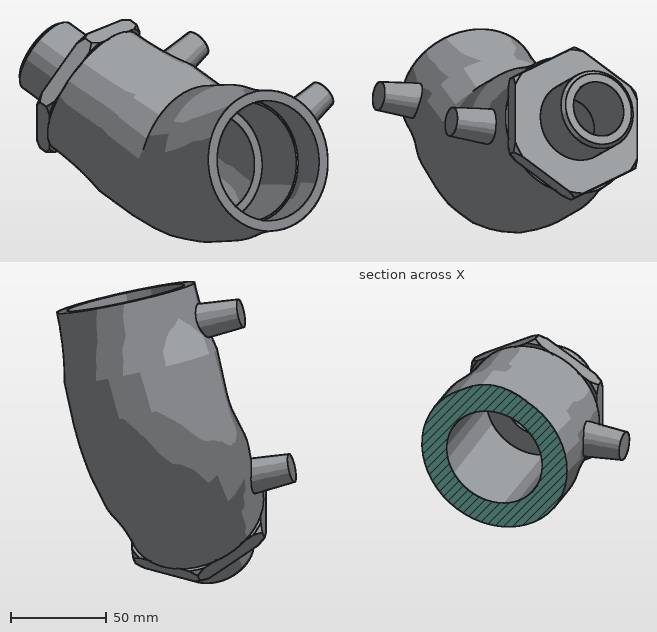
import cadquery as cq
import math


nipple_diameter = 42.0
nipple_bore = 29.3
nipple_length = 26.9
nipple_chamfer = 1.8
nut_thickness = 8.8
nut_corner_diameter = 82.0
nut_chamfer = 2.2
nut_back = nipple_length + nut_thickness

body_diameter = 82.0
end_diameter = 74.0
straight_length = 21.9
taper_length = 37.0
leg_length = straight_length + taper_length
bend_angle = 45
bend_radius = 30.5
body_radius = body_diameter / 2
end_radius = end_diameter / 2
bend_start = nut_back + leg_length

waterway_diameter = 53.5
socket_diameter = 63.0
stop_height = 2.2
groove_top_depth = 15.3
groove_bottom_depth = 22.6
groove_depth = 1.1

pin_tip_diameter = 15.0
pin_base_diameter = 18.5
pin_base_y = 37.7
pin_tip_y = 58.9
pin_end_distance = 20.0
pin_distance = leg_length - pin_end_distance

bend_sin = math.sin(math.radians(bend_angle))
bend_cos = math.cos(math.radians(bend_angle))
outlet_x = bend_start + bend_radius * bend_sin
outlet_z = bend_radius * (1 - bend_cos)
inlet_frame = cq.Plane((bend_start, 0, 0), xDir=(0, 1, 0), normal=(-1, 0, 0))
outlet_frame = cq.Plane((outlet_x, 0, outlet_z), xDir=(0, 1, 0), normal=(bend_cos, 0, bend_sin))


def x_cylinder(diameter, start, length):
    return cq.Workplane("YZ", origin=(start, 0, 0)).circle(diameter / 2).extrude(length)


def leg(frame):
    """Straight length, then a concave taper that ends parallel to the leg axis."""
    radius_drop = body_radius - end_radius
    arc_radius = (taper_length**2 + radius_drop**2) / (2 * radius_drop)
    half_angle = math.asin(taper_length / arc_radius) / 2
    arc_middle = (
        end_radius + arc_radius * (1 - math.cos(half_angle)),
        leg_length - arc_radius * math.sin(half_angle),
    )
    profile = (
        cq.Workplane("XY")
        .lineTo(body_radius, 0)
        .lineTo(body_radius, straight_length)
        .threePointArc(arc_middle, (end_radius, leg_length))
        .lineTo(0, leg_length)
        .close()
    )
    solid = profile.revolve(360, (0, 0, 0), (0, 1, 0)).rotate((0, 0, 0), (1, 0, 0), 90)
    return cq.Workplane(solid.val().moved(cq.Location(frame)))


def bend(diameter):
    """Sweep a disc around the bend axis, keeping only the part outside that axis."""
    section = cq.Sketch().circle(diameter / 2)
    if diameter / 2 > bend_radius:
        beyond_axis = cq.Sketch().rect(diameter, diameter)
        section = section.face(
            beyond_axis.moved(cq.Location((0, bend_radius + diameter / 2, 0))), mode="s"
        )
    return (
        cq.Workplane("YZ", origin=(bend_start, 0, 0))
        .placeSketch(section)
        .revolve(bend_angle, (0, bend_radius, 0), (-1, bend_radius, 0))
    )


def nut():
    hexagon = (
        cq.Workplane("YZ", origin=(nipple_length, 0, 0))
        .transformed(rotate=(0, 0, 90))
        .polygon(6, nut_corner_diameter)
        .extrude(nut_thickness)
    )
    envelope = x_cylinder(nut_corner_diameter, nipple_length, nut_thickness)
    envelope = envelope.edges().chamfer(nut_chamfer)
    return hexagon.intersect(envelope)


def nipple():
    return x_cylinder(nipple_diameter, 0, nipple_length).faces("<X").chamfer(nipple_chamfer)


def pin(x, z):
    """Solid tapered pin, rooted inside the leg wall."""
    root_y = (socket_diameter / 2 + body_radius) / 2
    slope = (pin_base_diameter - pin_tip_diameter) / (2 * (pin_tip_y - pin_base_y))
    root_radius = pin_base_diameter / 2 + slope * (pin_base_y - root_y)
    cone = cq.Solid.makeCone(
        root_radius, pin_tip_diameter / 2, pin_tip_y - root_y, cq.Vector(x, root_y, z), cq.Vector(0, 1, 0)
    )
    return cq.Workplane(cone)


def socket():
    """Outlet bore with a retaining groove that widens towards its bottom shoulder."""
    radius = socket_diameter / 2
    bottom = cq.Workplane(outlet_frame).workplane(offset=stop_height)
    bore = bottom.circle(radius).extrude(leg_length - stop_height)
    groove_height = groove_bottom_depth - groove_top_depth
    groove_origin = outlet_frame.toWorldCoords((0, 0, leg_length - groove_bottom_depth))
    groove = cq.Solid.makeCone(radius + groove_depth, radius, groove_height, groove_origin, outlet_frame.zDir)
    return bore.union(cq.Workplane(groove))


body = leg(inlet_frame).union(leg(outlet_frame)).union(bend(body_diameter))
body = body.union(nut()).union(nipple())
body = body.union(pin(bend_start - pin_distance, 0))
body = body.union(pin(outlet_x + pin_distance * bend_cos, outlet_z + pin_distance * bend_sin))

stop_bore = cq.Workplane(outlet_frame).circle(waterway_diameter / 2).extrude(stop_height)
body = body.cut(x_cylinder(nipple_bore, 0, nut_back))
body = body.cut(x_cylinder(waterway_diameter, nut_back, leg_length))
body = body.cut(bend(waterway_diameter)).cut(stop_bore)
result = body.cut(socket())